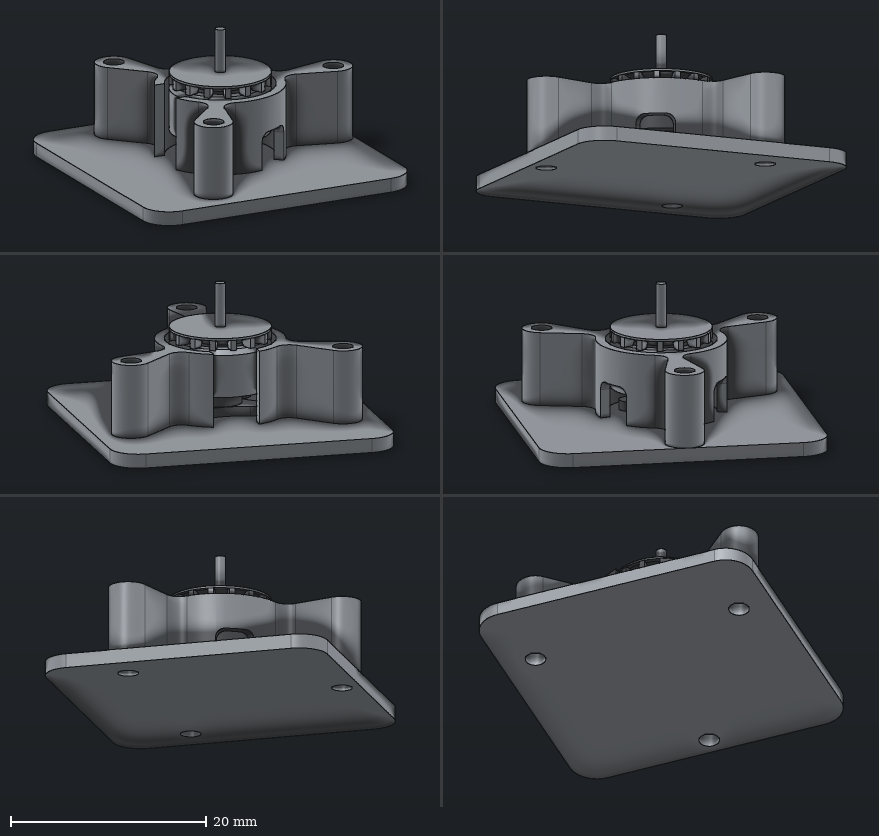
import cadquery as cq
import math

PLATE_SIDE = 30.0
PLATE_THICKNESS = 1.5
PLATE_CORNER_RADIUS = 3.0

MOUNT_HEIGHT = 7.7
RING_OUTER_RADIUS = 6.75
RING_INNER_RADIUS = 5.73
BOSS_RADIUS = 2.0
BOSS_DISTANCE = PLATE_SIDE / 2 - BOSS_RADIUS
ARM_ANGLES = (90, 210, 330)
ARM_TAPER = 14.5
ARM_FILLET = 1.5
SCREW_HOLE_DIAMETER = 2.1
GAP_ANGLE = 270
GAP_WIDTH = 4.85
WINDOW_ANGLES = (30, 150)
WINDOW_SPAN = 35.0
WINDOW_HEIGHT = 4.0
WINDOW_FILLET = 1.0

FOOT_HEIGHT = 1.0
LOBE_RADIUS = 1.2
LOBE_DISTANCE = 3.33
FOOT_HOLLOW_RADIUS = 7.0
STATOR_POST_RADIUS = 2.25

CAN_RADIUS = 5.25
CAN_CHAMFER = 0.5
CAN_CLEARANCE = 2.75
RIB_COUNT = 15
RIB_WIDTH = 0.6
RIB_HEIGHT = 1.05
RIB_TIP_RADIUS = 3.78
RIB_TIP_RISE = 0.6
RIB_FOOT_RADIUS = 4.1
CAP_RIM = 0.25
CAP_CONE_RADIUS = 4.8
CAP_CONE_TIP_RADIUS = 2.88
SHAFT_RADIUS = 0.555
SHAFT_TOP = 15.1

MOUNT_TOP = PLATE_THICKNESS + MOUNT_HEIGHT
CAN_BOTTOM = PLATE_THICKNESS + CAN_CLEARANCE
CAN_TOP = MOUNT_TOP
CAN_INNER_RADIUS = RIB_TIP_RADIUS
RIB_TOP = CAN_TOP + RIB_HEIGHT
CAP_TOP = RIB_TOP + CAP_RIM
ARM_APEX = BOSS_DISTANCE - BOSS_RADIUS / math.sin(math.radians(ARM_TAPER))


def polar(radius, angle):
    """Point at a radius and an angle in degrees."""
    return radius * math.cos(math.radians(angle)), radius * math.sin(math.radians(angle))


BOSS_CENTRES = [polar(BOSS_DISTANCE, angle) for angle in ARM_ANGLES]


def cylinder(radius, bottom, top):
    return cq.Workplane("XY").workplane(offset=bottom).circle(radius).extrude(top - bottom)


def cut_screw_holes(body):
    holes = cq.Workplane("XY").pushPoints(BOSS_CENTRES).circle(SCREW_HOLE_DIAMETER / 2).extrude(MOUNT_TOP)
    return body.cut(holes)


def make_plate():
    plate = cq.Workplane("XY").rect(PLATE_SIDE, PLATE_SIDE).extrude(PLATE_THICKNESS)
    return cut_screw_holes(plate.edges("|Z").fillet(PLATE_CORNER_RADIUS))


def make_arm(angle):
    """Round boss whose tangent sides narrow toward the ring, meeting in a point under its wall."""
    taper = math.radians(ARM_TAPER)
    tangent_x = BOSS_DISTANCE - BOSS_RADIUS * math.sin(taper)
    tangent_y = BOSS_RADIUS * math.cos(taper)
    boss_end = BOSS_DISTANCE + BOSS_RADIUS
    arm = (
        cq.Workplane("XY")
        .workplane(offset=PLATE_THICKNESS)
        .moveTo(ARM_APEX, 0)
        .lineTo(tangent_x, -tangent_y)
        .threePointArc((boss_end, 0), (tangent_x, tangent_y))
        .close()
        .extrude(MOUNT_HEIGHT)
    )
    return arm.rotate((0, 0, 0), (0, 0, 1), angle)


def fillet_arm_roots(body):
    """Round the six corners where the arm sides run into the ring."""
    margin = 0.03
    taper = math.radians(ARM_TAPER)
    corner_angle = ARM_TAPER - math.degrees(math.asin(ARM_APEX * math.sin(taper) / RING_OUTER_RADIUS))
    middle = PLATE_THICKNESS + MOUNT_HEIGHT / 2
    for arm_angle in ARM_ANGLES:
        for side in (-1, 1):
            x, y = polar(RING_OUTER_RADIUS, arm_angle + side * corner_angle)
            corner = cq.selectors.BoxSelector(
                (x - margin, y - margin, middle - margin), (x + margin, y + margin, middle + margin)
            )
            body = body.edges(corner).fillet(ARM_FILLET)
    return body


def make_window(angle):
    """Sector-shaped opening with rounded upper corners, standing on the plate."""
    outside = RING_OUTER_RADIUS + WINDOW_FILLET
    inside = RING_INNER_RADIUS - WINDOW_FILLET
    window = (
        cq.Workplane("XZ")
        .moveTo(inside, PLATE_THICKNESS)
        .lineTo(outside, PLATE_THICKNESS)
        .lineTo(outside, PLATE_THICKNESS + WINDOW_HEIGHT)
        .lineTo(inside, PLATE_THICKNESS + WINDOW_HEIGHT)
        .close()
        .revolve(WINDOW_SPAN, (0, 0, 0), (0, 1, 0))
    )
    window = window.faces(">Z").edges("%LINE").fillet(WINDOW_FILLET)
    centre = window.val().Center()
    turn = angle - math.degrees(math.atan2(centre.y, centre.x))
    return window.rotate((0, 0, 0), (0, 0, 1), turn)


def make_mount():
    """Ring with three arms, open on one side and pierced by two windows."""
    mount = cylinder(RING_OUTER_RADIUS, PLATE_THICKNESS, MOUNT_TOP)
    for angle in ARM_ANGLES:
        mount = mount.union(make_arm(angle))
    mount = fillet_arm_roots(mount)
    mount = mount.cut(cylinder(RING_INNER_RADIUS, PLATE_THICKNESS, MOUNT_TOP))
    gap = (
        cq.Workplane("XY")
        .box(2 * RING_OUTER_RADIUS, GAP_WIDTH, MOUNT_TOP, centered=(False, True, False))
        .rotate((0, 0, 0), (0, 0, 1), GAP_ANGLE)
    )
    mount = mount.cut(gap)
    for angle in WINDOW_ANGLES:
        mount = mount.cut(make_window(angle))
    return cut_screw_holes(mount)


def make_stator():
    """Foot with three round lobes joined by tangent concave sides, and a post up to the can."""
    lobe_step = 360 / len(ARM_ANGLES)
    half_step = math.radians(lobe_step / 2)
    along = LOBE_DISTANCE * math.cos(half_step)
    across = LOBE_DISTANCE * math.sin(half_step)
    hollow_distance = along + math.sqrt((FOOT_HOLLOW_RADIUS + LOBE_RADIUS) ** 2 - across**2)
    waist = hollow_distance - FOOT_HOLLOW_RADIUS

    def tangent_point(lobe_angle, hollow_angle):
        lobe_x, lobe_y = polar(LOBE_DISTANCE, lobe_angle)
        hollow_x, hollow_y = polar(hollow_distance, hollow_angle)
        share = LOBE_RADIUS / (LOBE_RADIUS + FOOT_HOLLOW_RADIUS)
        return lobe_x + share * (hollow_x - lobe_x), lobe_y + share * (hollow_y - lobe_y)

    first = tangent_point(ARM_ANGLES[0], ARM_ANGLES[0] - lobe_step / 2)
    outline = cq.Workplane("XY").workplane(offset=PLATE_THICKNESS).moveTo(*first)
    for angle in ARM_ANGLES:
        hollow_angle = angle + lobe_step / 2
        outline = outline.threePointArc(
            polar(LOBE_DISTANCE + LOBE_RADIUS, angle), tangent_point(angle, hollow_angle)
        ).threePointArc(polar(waist, hollow_angle), tangent_point(angle + lobe_step, hollow_angle))
    foot = outline.close().extrude(FOOT_HEIGHT)
    return foot.union(cylinder(STATOR_POST_RADIUS, PLATE_THICKNESS, CAN_TOP))


def make_rib(angle):
    """Rib on the can's top face, overhanging its chamfer; the inner edge slants inward as it rises."""
    rib = (
        cq.Workplane("XZ")
        .moveTo(RIB_FOOT_RADIUS, CAN_TOP)
        .lineTo(CAN_RADIUS, CAN_TOP)
        .lineTo(CAN_RADIUS, RIB_TOP)
        .lineTo(RIB_TIP_RADIUS, RIB_TOP)
        .lineTo(RIB_TIP_RADIUS, CAN_TOP + RIB_TIP_RISE)
        .close()
        .extrude(RIB_WIDTH / 2, both=True)
    )
    return rib.rotate((0, 0, 0), (0, 0, 1), angle)


def make_rotor():
    """Chamfered can, ribs and a cap whose underside is a cone, with the shaft on top."""
    can = cylinder(CAN_RADIUS, CAN_BOTTOM, CAN_TOP).faces(">Z").edges().chamfer(CAN_CHAMFER)
    rotor = can.cut(cylinder(CAN_INNER_RADIUS, CAN_BOTTOM, CAN_TOP))
    for index in range(RIB_COUNT):
        rotor = rotor.union(make_rib(GAP_ANGLE + index * 360 / RIB_COUNT))
    cap = (
        cq.Workplane("XZ")
        .moveTo(0, CAN_TOP)
        .lineTo(CAP_CONE_TIP_RADIUS, CAN_TOP)
        .lineTo(CAP_CONE_RADIUS, RIB_TOP)
        .lineTo(CAN_RADIUS, RIB_TOP)
        .lineTo(CAN_RADIUS, CAP_TOP)
        .lineTo(0, CAP_TOP)
        .close()
        .revolve(360, (0, 0, 0), (0, 1, 0))
    )
    return rotor.union(cap).union(cylinder(SHAFT_RADIUS, CAP_TOP, SHAFT_TOP))


plate = make_plate()
mount = make_mount()
stator = make_stator()
rotor = make_rotor()

result = cq.Compound.makeCompound([plate.val(), mount.val(), stator.val(), rotor.val()])